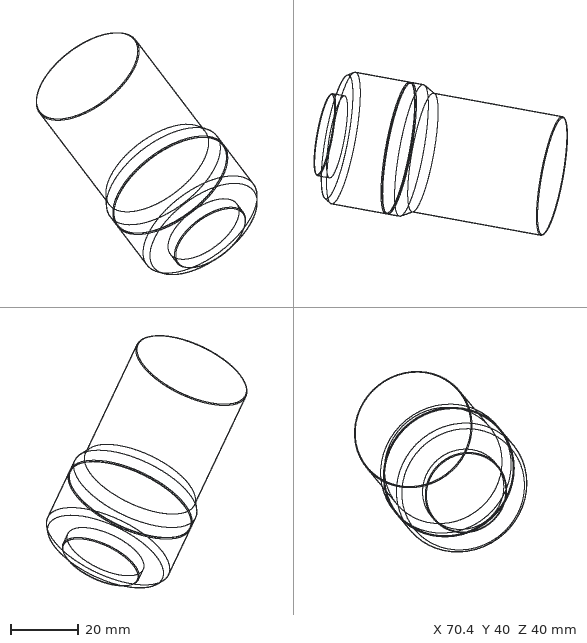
import cadquery as cq

total_length = 70.4
body_radius = 18.0
collar_radius = 20.0
spigot_radius = 12.45

body_length = 40.0
flare_length = 3.5
spigot_length = 3.95

edge_chamfer = 0.3
collar_chamfer_length = 2.0
collar_chamfer_depth = 1.2

groove_offset = 3.95
groove_width = 0.55
groove_depth = 0.3

collar_start = body_length + flare_length
collar_end = total_length - spigot_length
groove_center = collar_start + groove_offset

profile = [
    (0, 0),
    (0, body_radius - edge_chamfer),
    (edge_chamfer, body_radius),
    (body_length, body_radius),
    (collar_start, collar_radius),
    (groove_center - groove_width / 2, collar_radius),
    (groove_center, collar_radius - groove_depth),
    (groove_center + groove_width / 2, collar_radius),
    (collar_end - collar_chamfer_length, collar_radius),
    (collar_end, collar_radius - collar_chamfer_depth),
    (collar_end, spigot_radius),
    (total_length - edge_chamfer, spigot_radius),
    (total_length, spigot_radius - edge_chamfer),
    (total_length, 0),
]

result = cq.Workplane("XY").polyline(profile).close().revolve(360, (0, 0, 0), (1, 0, 0))